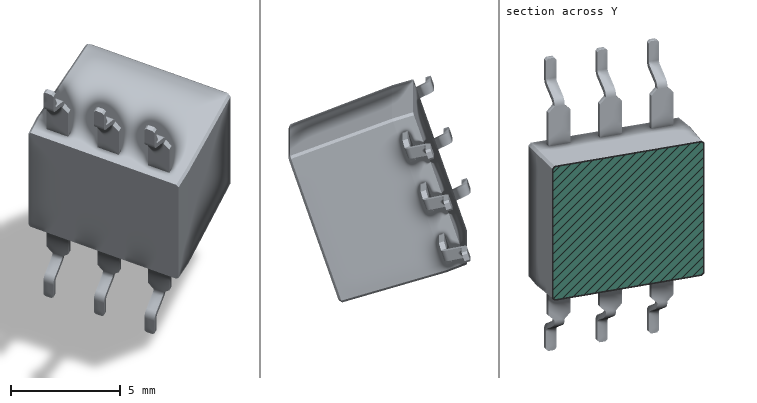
import cadquery as cq
import math

body_width = 7.62
body_height = 6.82
parting_to_front = 1.0
parting_to_back = 5.1
draft_angle = 2.0
edge_chamfer = 0.12

overall_height = 14.61
leads_per_row = 3
lead_pitch = 2.54
lead_thickness = 0.25
shank_width = 1.08
foot_width = 0.5
foot_length = 1.0
tip_chamfer = 0.1
bend_angle = 60.0
inner_bend_radius = 0.2
embedded_length = 1.0

body_standoff = 0.5
shank_front_y = 1.0
parting_y = body_standoff + parting_to_front
shank_back_y = shank_front_y + lead_thickness

tip_z = overall_height / 2
shank_root_z = body_height / 2 - embedded_length
outer_bend_radius = inner_bend_radius + lead_thickness
bend_cos = math.cos(math.radians(bend_angle))
bend_sin = math.sin(math.radians(bend_angle))
shank_bend_y = shank_front_y - inner_bend_radius
foot_bend_y = lead_thickness + inner_bend_radius
radius_sum = inner_bend_radius + outer_bend_radius
ramp_length = (radius_sum * bend_cos + shank_bend_y - foot_bend_y) / bend_sin
bend_height = radius_sum * bend_sin + ramp_length * bend_cos
foot_bend_z = tip_z - foot_length
shank_bend_z = foot_bend_z - bend_height


def body_outline(y, inset):
    """Rectangle with cut corners at a place along Y, set in evenly from the parting outline."""
    half_x = body_width / 2 - inset
    half_z = body_height / 2 - inset
    upper_half = [
        (half_x, half_z - edge_chamfer),
        (half_x - edge_chamfer, half_z),
        (edge_chamfer - half_x, half_z),
        (-half_x, half_z - edge_chamfer),
    ]
    lower_half = [(-x, -z) for x, z in upper_half]
    corners = [cq.Vector(x, y, z) for x, z in upper_half + lower_half]
    return cq.Wire.makePolygon(corners, close=True)


def make_body():
    """Straight-sided stretches between outlines, ending in a chamfer around the back face."""
    draft_slope = math.tan(math.radians(draft_angle))
    front_inset = draft_slope * parting_to_front
    drafted_depth = parting_to_back - edge_chamfer
    back_inset = draft_slope * drafted_depth
    back_y = parting_y + parting_to_back
    outlines = [
        body_outline(body_standoff, front_inset),
        body_outline(parting_y, 0),
        body_outline(parting_y + drafted_depth, back_inset),
        body_outline(back_y, back_inset + edge_chamfer),
    ]
    return cq.Workplane(cq.Solid.makeLoft(outlines, True))


def shank_bend_point(radius):
    """Where an arc about the shank bend centre meets the sloping ramp."""
    return (shank_bend_y + radius * bend_cos, shank_bend_z + radius * bend_sin)


def foot_bend_point(radius):
    """Where an arc about the foot bend centre meets the sloping ramp."""
    return (foot_bend_y - radius * bend_cos, foot_bend_z - radius * bend_sin)


def bent_strip():
    """Lead strip at full shank width, with its double bend in the YZ plane."""
    return (
        cq.Workplane("YZ")
        .moveTo(shank_front_y, shank_root_z)
        .lineTo(shank_front_y, shank_bend_z)
        .radiusArc(shank_bend_point(inner_bend_radius), -inner_bend_radius)
        .lineTo(*foot_bend_point(outer_bend_radius))
        .radiusArc((0, foot_bend_z), outer_bend_radius)
        .lineTo(0, tip_z)
        .lineTo(lead_thickness, tip_z)
        .lineTo(lead_thickness, foot_bend_z)
        .radiusArc(foot_bend_point(inner_bend_radius), -inner_bend_radius)
        .lineTo(*shank_bend_point(outer_bend_radius))
        .radiusArc((shank_back_y, shank_bend_z), outer_bend_radius)
        .lineTo(shank_back_y, shank_root_z)
        .close()
        .extrude(shank_width / 2, both=True)
    )


def lead_outline():
    """Prism with the lead's XZ outline: wide shank, 45 degree shoulders, narrow foot."""
    half_shank = shank_width / 2
    half_foot = foot_width / 2
    shoulder = half_shank - half_foot
    right_edge = [
        (half_shank, shank_root_z),
        (half_shank, shank_bend_z - shoulder),
        (half_foot, shank_bend_z),
        (half_foot, tip_z - tip_chamfer),
        (half_foot - tip_chamfer, tip_z),
    ]
    left_edge = [(-x, z) for x, z in reversed(right_edge)]
    return cq.Workplane("XZ").polyline(right_edge + left_edge).close().extrude(-shank_back_y)


def make_lead():
    return bent_strip().intersect(lead_outline())


result = make_body()
upper_lead = make_lead()
lower_lead = upper_lead.mirror("XY")
for index in range(leads_per_row):
    lead_x = (index - (leads_per_row - 1) / 2) * lead_pitch
    for lead in (upper_lead, lower_lead):
        result = result.union(lead.translate((lead_x, 0, 0)))